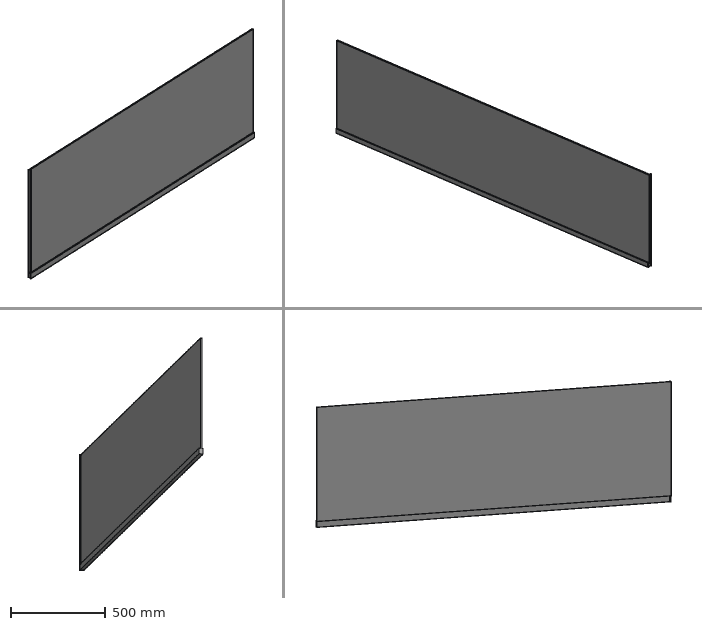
import cadquery as cq

width_x = 22.0
length_y = 1983.0
height_z = 652.0

panel_thickness = 8.0
panel_setback = 5.0

rail_height = 32.0
rail_end_gap = 5.0
end_cap_length = 5.0
end_cap_inset = 0.4

seal_width = 20.0
seal_length = 2.0
lip_thickness = 2.0
lip_overhang = 1.0

left_x = -width_x / 2
right_x = width_x / 2
front_y = -length_y / 2
back_y = length_y / 2
bottom_z = -height_z / 2
top_z = height_z / 2
rail_top_z = bottom_z + rail_height


def block(x_range, y_range, z_range):
    """Box filling the given (low, high) range along each axis."""
    sizes = [high - low for low, high in (x_range, y_range, z_range)]
    corner = (x_range[0], y_range[0], z_range[0])
    return cq.Workplane("XY").box(*sizes, centered=False).translate(corner)


seal_front_y = front_y + lip_overhang
seal_back_y = seal_front_y + seal_length
rail_front_y = front_y + rail_end_gap
rail_body_front_y = rail_front_y + end_cap_length
panel_left_x = left_x + panel_setback

rail = block((left_x, right_x), (rail_body_front_y, back_y), (bottom_z, rail_top_z))
end_cap = block(
    (left_x + end_cap_inset, right_x),
    (rail_front_y, rail_body_front_y),
    (bottom_z, rail_top_z),
)
panel = block(
    (panel_left_x, panel_left_x + panel_thickness),
    (seal_back_y, back_y),
    (rail_top_z, top_z),
)
seal_body = block(
    (right_x - seal_width, right_x),
    (seal_front_y, seal_back_y),
    (rail_top_z, top_z),
)
seal_lip = block(
    (right_x - lip_thickness, right_x),
    (front_y, rail_front_y),
    (bottom_z, top_z),
)

result = rail.union(end_cap).union(panel).union(seal_body).union(seal_lip)